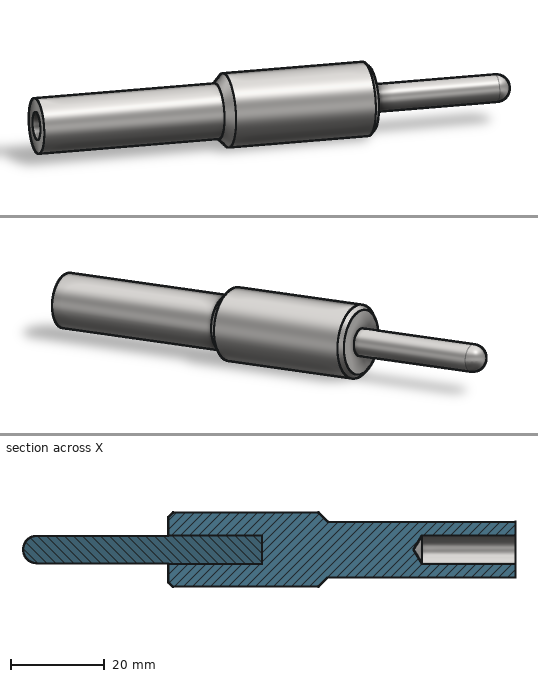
import cadquery as cq
import math

TOTAL_LENGTH = 105.0

GRIP_DIAMETER = 12.0
GRIP_LENGTH = 40.0
COLLAR_DIAMETER = 16.0
COLLAR_END = 74.0
COLLAR_CHAMFER = 1.0

BORE_DIAMETER = 6.0
BORE_DEPTH = 20.0
DRILL_POINT_ANGLE = 118.0

PIN_DIAMETER = 6.0
PIN_SEAT_DEPTH = 20.0

grip_radius = GRIP_DIAMETER / 2
collar_radius = COLLAR_DIAMETER / 2
bore_radius = BORE_DIAMETER / 2
pin_radius = PIN_DIAMETER / 2

shoulder_length = collar_radius - grip_radius
drill_point_length = bore_radius / math.tan(math.radians(DRILL_POINT_ANGLE / 2))
pin_seat = COLLAR_END - PIN_SEAT_DEPTH


def revolve_about_y(profile):
    """Turn a closed profile of (radius, Y) points a full circle about the Y axis."""
    return profile.close().revolve(360, (0, 0, 0), (0, 1, 0))


def make_handle():
    """Grip and collar, with the blind bore in front and the pin socket behind."""
    profile = (
        cq.Workplane("XY")
        .moveTo(bore_radius, 0)
        .lineTo(grip_radius, 0)
        .lineTo(grip_radius, GRIP_LENGTH)
        .lineTo(collar_radius, GRIP_LENGTH + shoulder_length)
        .lineTo(collar_radius, COLLAR_END - COLLAR_CHAMFER)
        .lineTo(collar_radius - COLLAR_CHAMFER, COLLAR_END)
        .lineTo(pin_radius, COLLAR_END)
        .lineTo(pin_radius, pin_seat)
        .lineTo(0, pin_seat)
        .lineTo(0, BORE_DEPTH + drill_point_length)
        .lineTo(bore_radius, BORE_DEPTH)
    )
    return revolve_about_y(profile)


def make_pin():
    """Straight pin from the bottom of its socket to the rounded nose."""
    nose_start = TOTAL_LENGTH - pin_radius
    nose_middle = pin_radius * math.sqrt(0.5)
    profile = (
        cq.Workplane("XY")
        .moveTo(0, pin_seat)
        .lineTo(pin_radius, pin_seat)
        .lineTo(pin_radius, nose_start)
        .threePointArc((nose_middle, nose_start + nose_middle), (0, TOTAL_LENGTH))
    )
    return revolve_about_y(profile)


handle = make_handle()
pin = make_pin()

result = cq.Compound.makeCompound([handle.val(), pin.val()])